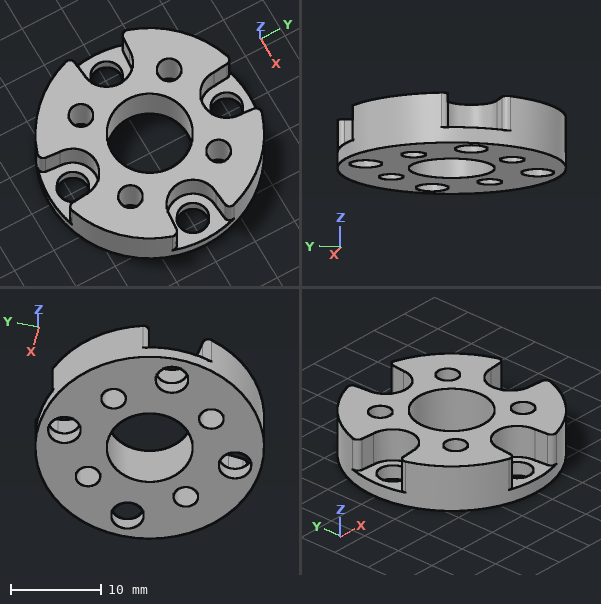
import cadquery as cq
import math

disc_diameter = 25.4
disc_height = 5.71
disc_radius = disc_diameter / 2
bore_diameter = 9.53

relief_count = 4
relief_angle_step = 360 / relief_count
flange_thickness = 1.75
mount_hole_diameter = 3.6
mount_circle_radius = 9.78
relief_radius = 2.92
relief_flare_angle = 5.0
rim_corner_radius = 0.65

arm_hole_diameter = 2.72
arm_hole_circle_radius = 7.93


def make_disc():
    return cq.Workplane("XY").circle(disc_radius).circle(bore_diameter / 2).extrude(disc_height)


def make_relief():
    """Cutter on the +X side: semicircular inner end, then straight walls flaring outward past the rim."""
    flare = math.radians(relief_flare_angle)
    outer_x = disc_radius + relief_radius
    outer_y = relief_radius + (outer_x - mount_circle_radius) * math.tan(flare)
    return (
        cq.Workplane("XY")
        .workplane(offset=flange_thickness)
        .moveTo(outer_x, -outer_y)
        .lineTo(mount_circle_radius, -relief_radius)
        .threePointArc((mount_circle_radius - relief_radius, 0), (mount_circle_radius, relief_radius))
        .lineTo(outer_x, outer_y)
        .close()
        .extrude(disc_height - flange_thickness)
    )


def cut_reliefs(body):
    relief = make_relief()
    for index in range(relief_count):
        body = body.cut(relief.rotate((0, 0, 0), (0, 0, 1), index * relief_angle_step))
    return body


def round_rim_corners(body):
    """Round the upright edges where the relief walls break through the rim."""
    tolerance = 0.001

    def is_rim_corner(edge):
        center = edge.Center()
        on_rim = abs(math.hypot(center.x, center.y) - disc_radius) < tolerance
        return on_rim and edge.BoundingBox().zmin > flange_thickness - tolerance

    corners = body.edges("|Z").filter(is_rim_corner)
    return corners.fillet(rim_corner_radius)


def drill_holes(body, diameter, circle_radius, start_angle):
    drill = cq.Workplane("XY").center(circle_radius, 0).circle(diameter / 2).extrude(disc_height)
    for index in range(relief_count):
        angle = start_angle + index * relief_angle_step
        body = body.cut(drill.rotate((0, 0, 0), (0, 0, 1), angle))
    return body


result = make_disc()
result = cut_reliefs(result)
result = round_rim_corners(result)
result = drill_holes(result, mount_hole_diameter, mount_circle_radius, 0)
result = drill_holes(result, arm_hole_diameter, arm_hole_circle_radius, relief_angle_step / 2)